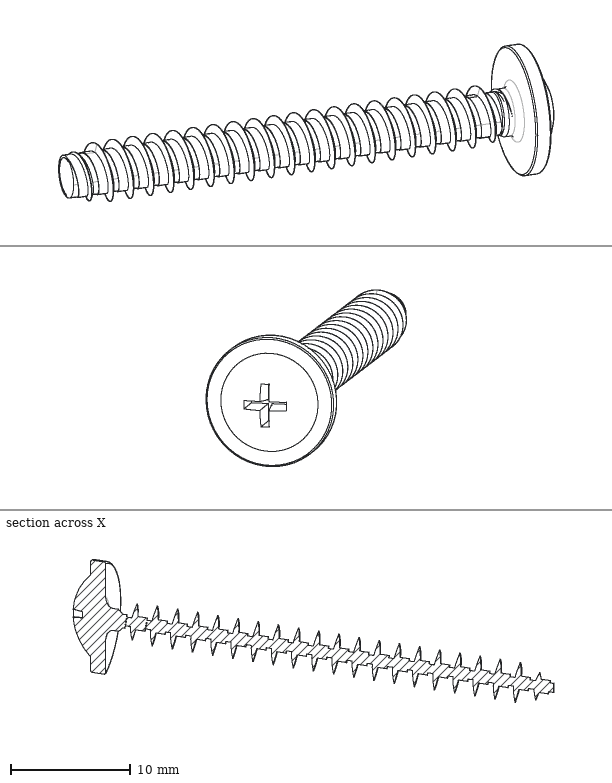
import cadquery as cq
import math

overall_length = 43.15

flange_radius = 5.5
flange_thickness = 1.4
flange_edge_chamfer = 0.15
dome_height = 1.85
dome_base_radius = 4.2
head_height = flange_thickness + dome_height
dome_radius = (dome_base_radius**2 + dome_height**2) / (2 * dome_height)
dome_centre_y = head_height - dome_radius

recess_span = 3.7
recess_arm_width = 0.78
recess_depth = 2.15
recess_taper = 6.0
recess_corner_radius = recess_arm_width / math.sqrt(2)

neck_radius = 2.03
neck_fillet = 0.6
neck_length = 1.12
neck_cone_length = 0.5
core_radius = 1.79
tip_dish_depth = 0.17
tip_y = dome_centre_y + math.sqrt(dome_radius**2 - recess_corner_radius**2) - overall_length

thread_start = 0.3
thread_length = 39.55
thread_turns = 22.0
fade_turns = 1.5
pitch = thread_length / thread_turns
fade_length = fade_turns * pitch
crest_radius = 2.565
crest_half_width = 0.02
faded_crest_radius = 1.75
head_flank_width = 0.4
tip_flank_width = 0.2
ledge_width = 1.05
ledge_radius = 1.85
root_radius = 1.65

thread_corners = [
    (-head_flank_width, root_radius, root_radius),
    (-crest_half_width, crest_radius, faded_crest_radius),
    (crest_half_width, crest_radius, faded_crest_radius),
    (tip_flank_width, ledge_radius, ledge_radius),
    (ledge_width, ledge_radius, ledge_radius),
    (ledge_width, root_radius, root_radius),
]
mirrored_corners = [(-offset, full, faded) for offset, full, faded in thread_corners]


def make_body():
    """Head, neck, core and dished tip as one turned body about the Y axis."""
    half_angle = math.asin(dome_base_radius / dome_radius) / 2
    dome_middle = (
        dome_radius * math.sin(half_angle),
        dome_centre_y + dome_radius * math.cos(half_angle),
    )
    fillet_middle = neck_fillet * (1 - math.sqrt(0.5))
    return (
        cq.Workplane("XY")
        .moveTo(0, head_height)
        .threePointArc(dome_middle, (dome_base_radius, flange_thickness))
        .lineTo(flange_radius - flange_edge_chamfer, flange_thickness)
        .lineTo(flange_radius, flange_thickness - flange_edge_chamfer)
        .lineTo(flange_radius, flange_edge_chamfer)
        .lineTo(flange_radius - flange_edge_chamfer, 0)
        .lineTo(neck_radius + neck_fillet, 0)
        .threePointArc(
            (neck_radius + fillet_middle, -fillet_middle),
            (neck_radius, -neck_fillet),
        )
        .lineTo(neck_radius, -neck_length)
        .lineTo(core_radius, -neck_length - neck_cone_length)
        .lineTo(core_radius, tip_y)
        .lineTo(0, tip_y + tip_dish_depth)
        .close()
        .revolve(360, (0, 0, 0), (0, 1, 0))
    )


def make_recess():
    """Tapered cross cut downward from the top of the dome."""
    dome_top = cq.Plane((0, head_height, 0), (1, 0, 0), (0, -1, 0))
    across, along = [
        cq.Workplane(dome_top).rect(*arm_size).extrude(recess_depth, taper=recess_taper)
        for arm_size in ((recess_span, recess_arm_width), (recess_arm_width, recess_span))
    ]
    return across.union(along)


def helix_edge(turns, offset, start_radius, end_radius):
    """Right-handed helix about Z whose radius grows evenly from start to end."""
    rise = turns * pitch
    growth = end_radius - start_radius
    centre = cq.Vector(0, 0, offset)
    up = cq.Vector(0, 0, 1)
    if growth == 0:
        return cq.Wire.makeHelix(pitch, rise, start_radius, centre, up).Edges()[0]
    slant = math.hypot(rise, growth)
    cone_angle = math.degrees(math.atan2(growth, rise))
    return cq.Wire.makeHelix(slant / turns, slant, start_radius, centre, up, cone_angle).Edges()[0]


def thread_section(corners, turns, fading):
    """Solid thread about Z, starting at Z = 0; a fading one grows out of the core."""
    edges = [
        helix_edge(turns, offset, faded if fading else full, full)
        for offset, full, faded in corners
    ]
    faces = [
        cq.Face.makeRuledSurface(edge, following)
        for edge, following in zip(edges, edges[1:] + edges[:1])
    ]
    for end in (0, 1):
        end_points = [edge.positionAt(end) for edge in edges]
        faces.append(cq.Face.makeFromWires(cq.Wire.makePolygon(end_points, close=True)))
    return cq.Solid.makeSolid(cq.Shell.makeShell(faces))


def make_thread_sections():
    """Full, fade-in and fade-out threads, placed on the screw and trimmed at the tip."""
    axis_start = (0, 0, 0)
    full_turns = thread_turns - 2 * fade_turns
    fade_in = thread_section(thread_corners, fade_turns, fading=True)
    full = (
        thread_section(thread_corners, full_turns, fading=False)
        .rotate(axis_start, (0, 0, 1), 360 * fade_turns)
        .translate((0, 0, fade_length))
    )
    fade_out = (
        thread_section(mirrored_corners, fade_turns, fading=True)
        .rotate(axis_start, (1, 0, 0), 180)
        .translate((0, 0, thread_length))
    )
    screw_frame = cq.Plane((0, -thread_start, 0), (0, 0, -1), (0, -1, 0))
    location = cq.Location(screw_frame)
    beyond_tip = cq.Workplane("XZ", origin=(0, tip_y, 0)).circle(crest_radius).extrude(2 * pitch)
    return [
        full.moved(location),
        fade_in.moved(location),
        fade_out.moved(location).cut(beyond_tip.val()),
    ]


result = make_body().cut(make_recess())
for section in make_thread_sections():
    result = result.union(section)